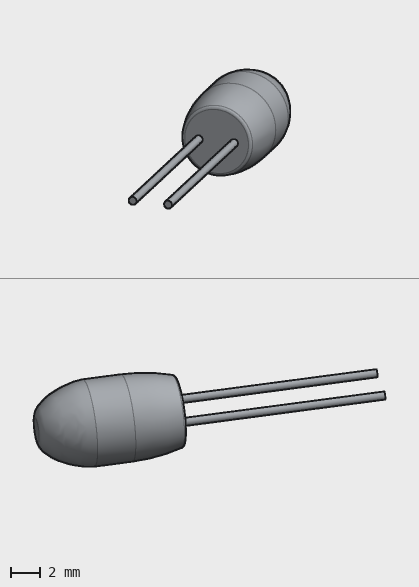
import cadquery as cq

total_length = 23.85
body_length = 9.88
lead_length = total_length - body_length

body_diameter = 6.0
body_radius = body_diameter / 2
tip_radius = 0.84
base_radius = 2.45
base_fillet = 0.25
dome_length = 3.58
barrel_length = 2.65
tail_length = body_length - dome_length - barrel_length

dome_barrel_handle = 0.95
dome_tip_handle = 1.25

lead_diameter = 0.57
lead_pitch = 2.53
lead_embed = 0.25

lead_end_y = -total_length / 2
base_y = lead_end_y + lead_length
barrel_start_y = base_y + tail_length
dome_start_y = barrel_start_y + barrel_length
tip_y = dome_start_y + dome_length


def tail_arc_middle():
    """Point halfway along the tail arc, which meets the barrel tangentially."""
    drop = body_radius - base_radius
    arc_radius = (tail_length**2 + drop**2) / (2 * drop)
    half_rise = tail_length / 2
    half_drop = arc_radius - (arc_radius**2 - half_rise**2) ** 0.5
    return (body_radius - half_drop, barrel_start_y - half_rise)


def make_body():
    """Revolved capsule: tapering tail, straight barrel and flat-tipped dome."""
    dome_controls = [
        (body_radius, dome_start_y),
        (body_radius, dome_start_y + dome_barrel_handle),
        (tip_radius + dome_tip_handle, tip_y),
        (tip_radius, tip_y),
    ]
    profile = (
        cq.Workplane("XY")
        .moveTo(0, base_y)
        .lineTo(base_radius, base_y)
        .threePointArc(tail_arc_middle(), (body_radius, barrel_start_y))
        .lineTo(body_radius, dome_start_y)
        .bezier(dome_controls)
        .lineTo(0, tip_y)
        .close()
    )
    body = profile.revolve(360, (0, 0, 0), (0, 1, 0))
    return body.faces("<Y").edges().fillet(base_fillet)


def make_lead(x):
    """Round wire from the free end into the body, so that the two fuse."""
    return (
        cq.Workplane("XZ", origin=(x, lead_end_y, 0))
        .circle(lead_diameter / 2)
        .extrude(-(lead_length + lead_embed))
    )


result = make_body()
for side in (-1, 1):
    result = result.union(make_lead(side * lead_pitch / 2))